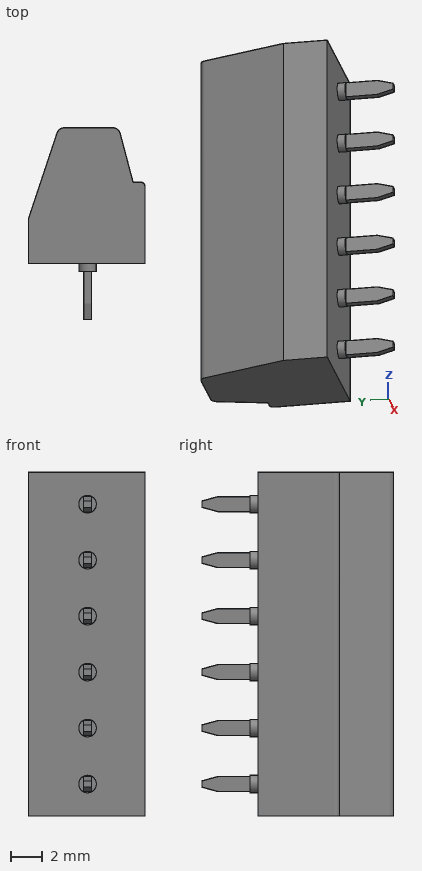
import cadquery as cq

BODY_WIDTH = 7.3
BODY_DEPTH = 8.5
LEFT_WALL_DEPTH = 2.8
TOP_LEFT_X = 1.9
TOP_RIGHT_X = 5.65
STEP_X = 6.55
STEP_DEPTH = 5.1
TOP_CORNER_RADIUS = 0.5
STEP_CORNER_RADIUS = 0.3

PIN_COUNT = 6
PIN_PITCH = 3.5
END_MARGIN = 2.0
PIN_X = 3.7
COLLAR_DIAMETER = 1.1
COLLAR_LENGTH = 0.5
PIN_LENGTH = 3.5
PIN_THICKNESS = 0.5
PIN_HEIGHT = 0.95
TIP_LENGTH = 1.0
TIP_HEIGHT = 0.4

BODY_LENGTH = (PIN_COUNT - 1) * PIN_PITCH + 2 * END_MARGIN


def make_housing():
    """Housing with the pin face at Y = 0 and the narrow top at +Y."""
    housing = (
        cq.Workplane("XY")
        .moveTo(0, 0)
        .lineTo(BODY_WIDTH, 0)
        .lineTo(BODY_WIDTH, STEP_DEPTH)
        .lineTo(STEP_X, STEP_DEPTH)
        .lineTo(TOP_RIGHT_X, BODY_DEPTH)
        .lineTo(TOP_LEFT_X, BODY_DEPTH)
        .lineTo(0, LEFT_WALL_DEPTH)
        .close()
        .extrude(BODY_LENGTH)
    )
    housing = housing.faces(">Y").edges("|Z").fillet(TOP_CORNER_RADIUS)
    return housing.faces(">X").edges("|Z and >Y").fillet(STEP_CORNER_RADIUS)


def make_pin(z):
    """Round collar and flat pin with a tapered tip, pointing along -Y at height z."""
    pin_face = cq.Workplane("XZ", origin=(PIN_X, 0, z))
    collar = pin_face.circle(COLLAR_DIAMETER / 2).extrude(COLLAR_LENGTH)
    half_height = PIN_HEIGHT / 2
    half_tip = TIP_HEIGHT / 2
    taper_start = TIP_LENGTH - PIN_LENGTH
    blade = (
        cq.Workplane("YZ", origin=(PIN_X, 0, z))
        .moveTo(0, half_height)
        .lineTo(taper_start, half_height)
        .lineTo(-PIN_LENGTH, half_tip)
        .lineTo(-PIN_LENGTH, -half_tip)
        .lineTo(taper_start, -half_height)
        .lineTo(0, -half_height)
        .close()
        .extrude(PIN_THICKNESS / 2, both=True)
    )
    return collar.union(blade)


result = make_housing()
for index in range(PIN_COUNT):
    result = result.union(make_pin(END_MARGIN + index * PIN_PITCH))